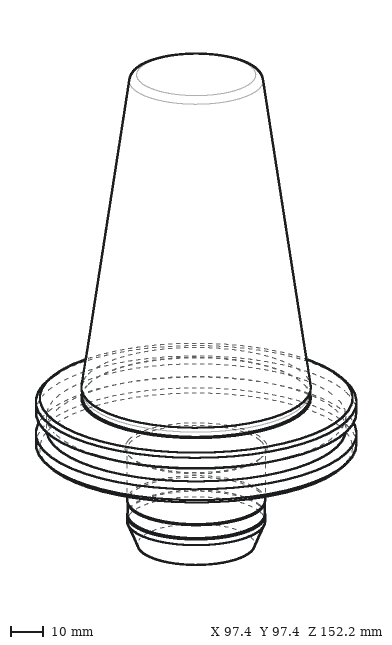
import cadquery as cq
import math

total_height = 152.2
nose_height = 7.6
shank_radius = 21.0
nose_radius = 17.8

band_bottom = 9.5
band_top = 14.5
band_depth = 0.2
band_ramp = 0.5

flange_radius = 48.7
flange_bottom = 31.4
flange_thickness = 16.1
flange_top = flange_bottom + flange_thickness
flange_chamfer = 1.2
root_chamfer = 0.6
groove_radius = 45.5
groove_bottom = 37.5
groove_top = 41.5
groove_flare = 1.4

taper_base_height = 50.9
taper_base_radius = 34.9
taper_slope = 7 / 48
neck_radius = 34.5
neck_top = 49.3
neck_root_chamfer = 0.3
tip_round = 2.3
tip_radius = taper_base_radius - taper_slope * (total_height - taper_base_height)

flank_angle = math.atan(taper_slope)
tip_face_radius = tip_radius - tip_round * math.tan(math.pi / 4 - flank_angle / 2)
round_center_height = total_height - tip_round


def tip_round_point(angle):
    """Point on the tip round at an angle above the horizontal."""
    return (
        tip_face_radius + tip_round * math.cos(angle),
        round_center_height + tip_round * math.sin(angle),
    )


def lower_outline(outline):
    """Nose cone and shank with its relief band, up to the flange."""
    band_radius = shank_radius - band_depth
    return (
        outline.lineTo(nose_radius, 0)
        .lineTo(shank_radius, nose_height)
        .lineTo(shank_radius, band_bottom)
        .lineTo(band_radius, band_bottom + band_ramp)
        .lineTo(band_radius, band_top - band_ramp)
        .lineTo(shank_radius, band_top)
        .lineTo(shank_radius, flange_bottom - root_chamfer)
        .lineTo(shank_radius + root_chamfer, flange_bottom)
    )


def flange_outline(outline):
    """Chamfered flange rim with a groove whose walls flare outward."""
    face_radius = flange_radius - flange_chamfer
    return (
        outline.lineTo(face_radius, flange_bottom)
        .lineTo(flange_radius, flange_bottom + flange_chamfer)
        .lineTo(flange_radius, groove_bottom - groove_flare)
        .lineTo(groove_radius, groove_bottom)
        .lineTo(groove_radius, groove_top)
        .lineTo(flange_radius, groove_top + groove_flare)
        .lineTo(flange_radius, flange_top - flange_chamfer)
        .lineTo(face_radius, flange_top)
    )


def taper_outline(outline):
    """Neck, taper flank and rounded tip, ending on the axis."""
    return (
        outline.lineTo(neck_radius + neck_root_chamfer, flange_top)
        .lineTo(neck_radius, flange_top + neck_root_chamfer)
        .lineTo(neck_radius, neck_top)
        .lineTo(taper_base_radius, taper_base_height)
        .lineTo(*tip_round_point(flank_angle))
        .threePointArc(
            tip_round_point((flank_angle + math.pi / 2) / 2),
            (tip_face_radius, total_height),
        )
        .lineTo(0, total_height)
    )


outline = cq.Workplane("XZ").moveTo(0, 0)
outline = lower_outline(outline)
outline = flange_outline(outline)
outline = taper_outline(outline)
result = outline.close().revolve(360, (0, 0, 0), (0, 1, 0))